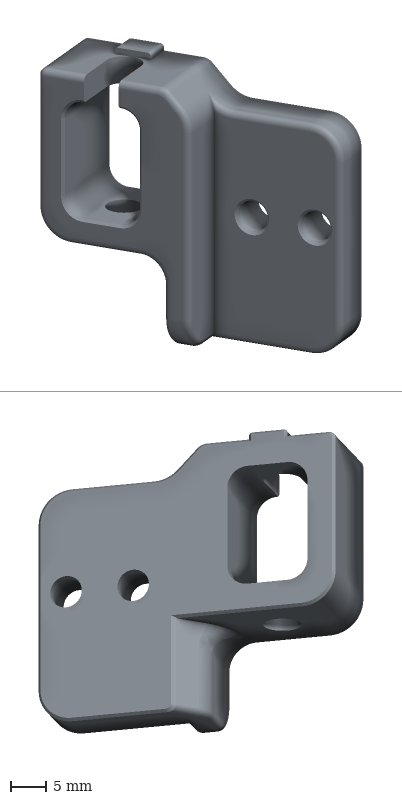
import cadquery as cq

WIDTH = 44.2
DEPTH = 15.0
PLATE_TOP = 34.85
BOX_TOP = 39.8
BOX_BOTTOM = 13.97
TAB_TOP = 40.8

WALL = 4.05
ARM_RIGHT = 24.0
ARM_LEFT = ARM_RIGHT - WALL
PLATE_THICKNESS = 7.0
PLATE_FRONT = DEPTH - PLATE_THICKNESS

CORNER_RADIUS = 5.0
INNER_RADIUS = 4.0
EDGE_RADIUS = 1.0
BACK_CHAMFER = 0.4
MOUTH_CHAMFER = 0.4
SHOULDER = 4.02
SHOULDER_RADIUS = 2.0
RELIEF_EDGE_RADIUS = 4.0

WINDOW_WIDTH = 11.95
WINDOW_RADIUS = 3.0
WINDOW_LEFT = WALL
WINDOW_RIGHT = WALL + WINDOW_WIDTH
WINDOW_BOTTOM = BOX_BOTTOM + WALL
WINDOW_TOP = BOX_TOP - WALL

SLOT_WIDTH = 5.5
SLOT_X = WALL + WINDOW_WIDTH / 2
SLOT_Y = DEPTH / 2
TAB_WIDTH = 5.7
TAB_RADIUS = 0.55
TAB_DEPTH = DEPTH - SLOT_Y - SLOT_WIDTH / 2

HOLE_DIAMETER = 4.7
HOLE_SPACING = 10.0
HOLE_EDGE_DISTANCE = 4.2
HOLE_RIGHT_X = WIDTH - HOLE_EDGE_DISTANCE
HOLE_HEIGHT = 19.4

MARGIN = 0.45


def near(x, y, z):
    """Pick the one item closest to a point."""
    return cq.selectors.NearestToPointSelector((x, y, z))


def within(x_min, x_max, z_min, z_max):
    """Pick the items inside an XZ rectangle, at any depth."""
    return cq.selectors.BoxSelector((x_min, -MARGIN, z_min), (x_max, DEPTH + MARGIN, z_max))


def slab(corners, y_front, y_back):
    """Extrude an XZ outline of (x, z, corner radius) along Y and round its corners."""
    points = [(x, z) for x, z, _ in corners]
    plane = cq.Workplane("XZ", origin=(0, y_back, 0))
    solid = plane.polyline(points).close().extrude(y_back - y_front)
    for x, z, radius in corners:
        if radius > 0:
            solid = solid.edges("|Y").edges(near(x, (y_front + y_back) / 2, z)).fillet(radius)
    return solid


def make_outer_body():
    """Join the full-depth box with its arm to the thinner plate at the back."""
    left_side = [
        (ARM_LEFT, 0, 0),
        (ARM_LEFT, BOX_BOTTOM, INNER_RADIUS),
        (0, BOX_BOTTOM, CORNER_RADIUS),
        (0, BOX_TOP, EDGE_RADIUS),
        (ARM_RIGHT - SHOULDER, BOX_TOP, SHOULDER_RADIUS),
    ]
    box_and_arm = left_side + [
        (ARM_RIGHT, BOX_TOP - SHOULDER, CORNER_RADIUS),
        (ARM_RIGHT, 0, 0),
    ]
    bevel_foot = ARM_RIGHT - SHOULDER + BOX_TOP - PLATE_TOP
    box_and_plate = left_side + [
        (bevel_foot, PLATE_TOP, CORNER_RADIUS),
        (WIDTH, PLATE_TOP, CORNER_RADIUS),
        (WIDTH, 0, CORNER_RADIUS),
    ]
    rear = slab(box_and_plate, PLATE_FRONT, DEPTH)
    plate_region = within(ARM_LEFT + MARGIN, WIDTH + MARGIN, -MARGIN, BOX_TOP - MARGIN)
    rear = rear.faces("<Y").edges(plate_region).fillet(EDGE_RADIUS)
    return slab(box_and_arm, 0, DEPTH).union(rear)


def make_relieved_arm():
    """Arm cut back at 45 degrees behind, with the cut's front edge rounded.

    It reaches up into the box so that the rounded edge runs past the box bottom.
    """
    arm_top = BOX_BOTTOM + 2 * WALL
    arm_corners = [
        (ARM_LEFT, 0, 0),
        (ARM_LEFT, BOX_BOTTOM, INNER_RADIUS),
        (0, BOX_BOTTOM, 0),
        (0, arm_top, 0),
        (ARM_RIGHT, arm_top, 0),
        (ARM_RIGHT, 0, 0),
    ]
    far_left = ARM_RIGHT - 2 * DEPTH
    relief_outline = [(ARM_RIGHT, DEPTH), (far_left, -DEPTH), (far_left, DEPTH)]
    relief = cq.Workplane("XY").polyline(relief_outline).close().extrude(arm_top)
    arm = slab(arm_corners, 0, DEPTH).cut(relief)
    relief_edge = near(ARM_LEFT, DEPTH - WALL, BOX_BOTTOM / 4)
    return arm.edges("|Z").edges(relief_edge).fillet(RELIEF_EDGE_RADIUS)


def make_tab():
    """Tab on the back of the box top, rooted in the ceiling, ending at the slot."""
    root = BOX_TOP - WALL / 2
    return (
        cq.Workplane("XY", origin=(SLOT_X, DEPTH - TAB_DEPTH, root))
        .box(TAB_WIDTH, TAB_DEPTH, TAB_TOP - root, centered=(True, False, False))
        .edges("|Y and >Z")
        .fillet(TAB_RADIUS)
    )


def cut_window(solid):
    """Cut the rounded window through the box and chamfer its front rim."""
    window_corners = [
        (WINDOW_LEFT, WINDOW_BOTTOM, WINDOW_RADIUS),
        (WINDOW_LEFT, WINDOW_TOP, WINDOW_RADIUS),
        (WINDOW_RIGHT, WINDOW_TOP, WINDOW_RADIUS),
        (WINDOW_RIGHT, WINDOW_BOTTOM, WINDOW_RADIUS),
    ]
    solid = solid.cut(slab(window_corners, 0, DEPTH))
    rim = within(WINDOW_LEFT - MARGIN, WINDOW_RIGHT + MARGIN, WINDOW_BOTTOM - MARGIN, WINDOW_TOP + MARGIN)
    return solid.faces("<Y").edges(rim).chamfer(MOUTH_CHAMFER)


def cut_slot(solid):
    """Cut a round hole through floor and ceiling, open to the front in the ceiling only."""
    hole = cq.Workplane("XY").center(SLOT_X, SLOT_Y).circle(SLOT_WIDTH / 2).extrude(TAB_TOP)
    mouth_bottom = WINDOW_TOP - WALL
    mouth = cq.Workplane("XY", origin=(SLOT_X, 0, mouth_bottom)).box(
        SLOT_WIDTH, SLOT_Y, TAB_TOP - mouth_bottom, centered=(True, False, False)
    )
    return solid.cut(hole).cut(mouth)


def cut_screw_hole(solid, x):
    """Cut one screw hole through the plate and chamfer its front rim."""
    plane = cq.Workplane("XZ", origin=(x, PLATE_FRONT, HOLE_HEIGHT))
    solid = solid.cut(plane.circle(HOLE_DIAMETER / 2).extrude(-PLATE_THICKNESS))
    return solid.edges(near(x, PLATE_FRONT, HOLE_HEIGHT)).chamfer(MOUTH_CHAMFER)


below_box = cq.Workplane("XY").box(ARM_RIGHT, DEPTH, BOX_BOTTOM, centered=False)
body = make_outer_body().cut(below_box.cut(make_relieved_arm())).clean()

nose_edge = near((ARM_LEFT + ARM_RIGHT) / 2, 0, 0)
body = body.edges("|X").edges(nose_edge).fillet(CORNER_RADIUS)
body = body.faces("<Y").edges().fillet(EDGE_RADIUS)

body = body.union(make_tab())
body = body.faces(">Y").edges().chamfer(BACK_CHAMFER)

body = cut_window(body)
body = cut_slot(body)
for hole_x in (HOLE_RIGHT_X - HOLE_SPACING, HOLE_RIGHT_X):
    body = cut_screw_hole(body, hole_x)

result = body